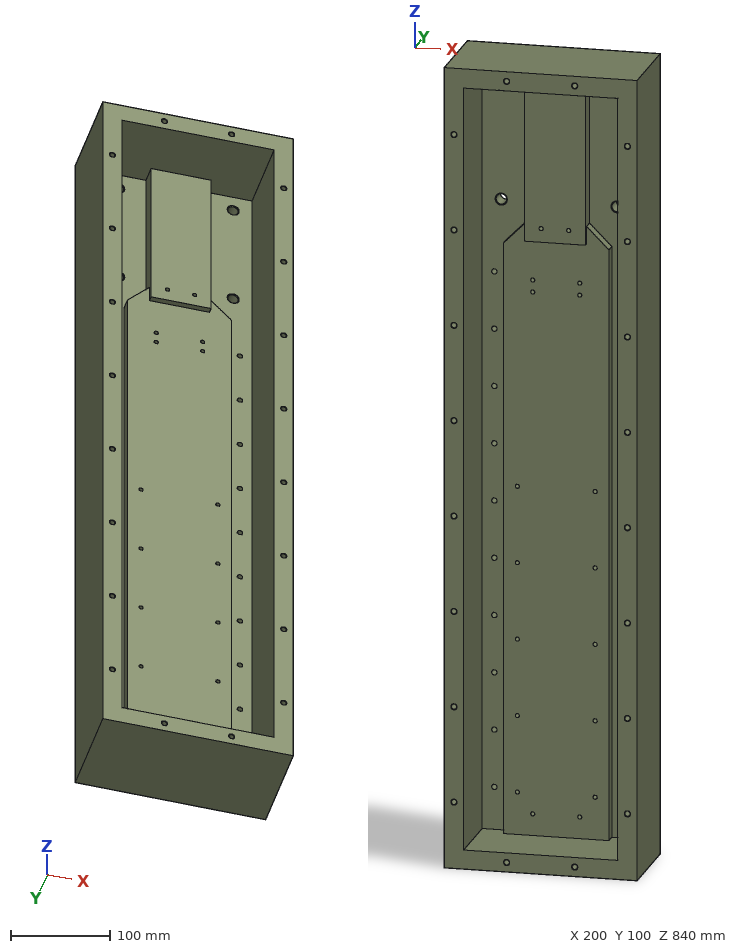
import cadquery as cq
import math

WIDTH = 200.0
DEPTH = 100.0
HEIGHT = 840.0
WALL = 20.0
FLOOR = WALL
FRONT_Y = -DEPTH / 2
FLOOR_Y = DEPTH / 2 - FLOOR
CAVITY_WIDTH = WIDTH - 2 * WALL
CAVITY_BOTTOM = WALL
CAVITY_TOP = HEIGHT - WALL

LONG_PAD_WIDTH = 109.0
LONG_PAD_THICKNESS = 13.0
LONG_PAD_SHOULDER_Z = 640.0
LONG_PAD_CORNER = 26.0
LONG_PAD_Y = FLOOR_Y - LONG_PAD_THICKNESS

SHORT_PAD_WIDTH = 63.0
SHORT_PAD_BOTTOM = 645.0
SHORT_PAD_STEP = 6.0
SHORT_PAD_Y = LONG_PAD_Y - SHORT_PAD_STEP

RIM_HOLE_DIAMETER = 5.5
RIM_SINK_DIAMETER = 6.4
RIM_HOLE_DEPTH = 20.0
DRILL_TIP_ANGLE = 118
RIM_SIDE_X = 90.0
RIM_SIDE_BOTTOM_Z = 70.0
RIM_SIDE_COUNT = 8
RIM_END_X = 35.0
RIM_END_INSET = WALL / 2

MOUNT_DIAMETER = 11.0
MOUNT_SINK_DIAMETER = 13.0
MOUNT_SPACING = 120.0
MOUNT_TOP_Z = 802.0
FLANK_DIAMETER = 5.5
FLANK_X = 67.0
FLANK_BOTTOM_Z = 65.0
FLANK_TOP_Z = 606.0
FLANK_COUNT = 10

PAD_HOLE_DEPTH = 13.0
PAD_SIDE_DIAMETER = 4.0
PAD_SIDE_X = 40.0
PAD_SIDE_TOP_Z = 385.5
PAD_SIDE_COUNT = 5
PAD_INNER_DIAMETER = 4.0
PAD_INNER_X = 24.0
PAD_INNER_Z = (43.0, 590.5, 603.0)
SHORT_PAD_HOLE_X = 14.0
SHORT_PAD_HOLE_Z = 659.0


def front_plane(y):
    """Sketch plane seen from -Y: X to the right, Z up, extruding towards -Y."""
    return cq.Workplane("XZ", origin=(0, y, 0))


def mirrored_pairs(x, heights):
    return [(side * x, z) for z in heights for side in (-1, 1)]


def evenly_spaced(first, last, count):
    pitch = (last - first) / (count - 1)
    return [first + i * pitch for i in range(count)]


def holes(points, diameter, y, depth):
    """Cylinders that start at y and run towards +Y."""
    return front_plane(y).pushPoints(points).circle(diameter / 2).extrude(-depth)


def cones(points, start_diameter, end_diameter, y, length):
    """Cones that start at y and narrow towards +Y."""
    axis = cq.Vector(0, 1, 0)
    cone_solids = [
        cq.Solid.makeCone(start_diameter / 2, end_diameter / 2, length, cq.Vector(x, y, z), axis)
        for x, z in points
    ]
    return cq.Workplane("XY").newObject(cone_solids)


def countersinks(points, sink_diameter, hole_diameter, y):
    """90 degree countersinks at the mouths of holes that start at y."""
    return cones(points, sink_diameter, hole_diameter, y, (sink_diameter - hole_diameter) / 2)


def open_box():
    box = cq.Workplane("XY").box(WIDTH, DEPTH, HEIGHT, centered=(True, True, False))
    cavity = (
        front_plane(FLOOR_Y)
        .center(0, HEIGHT / 2)
        .rect(CAVITY_WIDTH, CAVITY_TOP - CAVITY_BOTTOM)
        .extrude(FLOOR_Y - FRONT_Y)
    )
    return box.cut(cavity)


def long_pad():
    half = LONG_PAD_WIDTH / 2
    top_half = half - LONG_PAD_CORNER
    top_z = LONG_PAD_SHOULDER_Z + LONG_PAD_CORNER
    outline = [
        (-half, CAVITY_BOTTOM),
        (half, CAVITY_BOTTOM),
        (half, LONG_PAD_SHOULDER_Z),
        (top_half, top_z),
        (-top_half, top_z),
        (-half, LONG_PAD_SHOULDER_Z),
    ]
    return front_plane(FLOOR_Y).polyline(outline).close().extrude(LONG_PAD_THICKNESS)


def short_pad():
    height = CAVITY_TOP - SHORT_PAD_BOTTOM
    return (
        front_plane(FLOOR_Y)
        .center(0, SHORT_PAD_BOTTOM + height / 2)
        .rect(SHORT_PAD_WIDTH, height)
        .extrude(FLOOR_Y - SHORT_PAD_Y)
    )


def rim_holes():
    last_z = HEIGHT - RIM_SIDE_BOTTOM_Z
    side_points = mirrored_pairs(RIM_SIDE_X, evenly_spaced(RIM_SIDE_BOTTOM_Z, last_z, RIM_SIDE_COUNT))
    end_points = mirrored_pairs(RIM_END_X, (RIM_END_INSET, HEIGHT - RIM_END_INSET))
    points = side_points + end_points
    shafts = holes(points, RIM_HOLE_DIAMETER, FRONT_Y, RIM_HOLE_DEPTH)
    tip_length = RIM_HOLE_DIAMETER / 2 / math.tan(math.radians(DRILL_TIP_ANGLE / 2))
    tips = cones(points, RIM_HOLE_DIAMETER, 0, FRONT_Y + RIM_HOLE_DEPTH, tip_length)
    sinks = countersinks(points, RIM_SINK_DIAMETER, RIM_HOLE_DIAMETER, FRONT_Y)
    return shafts.add(tips).add(sinks).combine()


def floor_holes():
    flank_points = mirrored_pairs(FLANK_X, evenly_spaced(FLANK_BOTTOM_Z, FLANK_TOP_Z, FLANK_COUNT))
    mount_points = mirrored_pairs(MOUNT_SPACING / 2, (MOUNT_TOP_Z - MOUNT_SPACING, MOUNT_TOP_Z))
    flank_holes = holes(flank_points, FLANK_DIAMETER, FLOOR_Y, FLOOR)
    mount_holes = holes(mount_points, MOUNT_DIAMETER, FLOOR_Y, FLOOR)
    mount_sinks = countersinks(mount_points, MOUNT_SINK_DIAMETER, MOUNT_DIAMETER, FLOOR_Y)
    return flank_holes.add(mount_holes).add(mount_sinks).combine()


def pad_holes():
    side_points = mirrored_pairs(PAD_SIDE_X, evenly_spaced(FLANK_BOTTOM_Z, PAD_SIDE_TOP_Z, PAD_SIDE_COUNT))
    inner_points = mirrored_pairs(PAD_INNER_X, PAD_INNER_Z)
    short_points = mirrored_pairs(SHORT_PAD_HOLE_X, (SHORT_PAD_HOLE_Z,))
    side_holes = holes(side_points, PAD_SIDE_DIAMETER, LONG_PAD_Y, PAD_HOLE_DEPTH)
    inner_holes = holes(inner_points, PAD_INNER_DIAMETER, LONG_PAD_Y, PAD_HOLE_DEPTH)
    short_holes = holes(short_points, PAD_INNER_DIAMETER, SHORT_PAD_Y, PAD_HOLE_DEPTH)
    return side_holes.add(inner_holes).add(short_holes).combine()


body = open_box().union(long_pad()).union(short_pad())
result = body.cut(rim_holes()).cut(floor_holes()).cut(pad_holes())